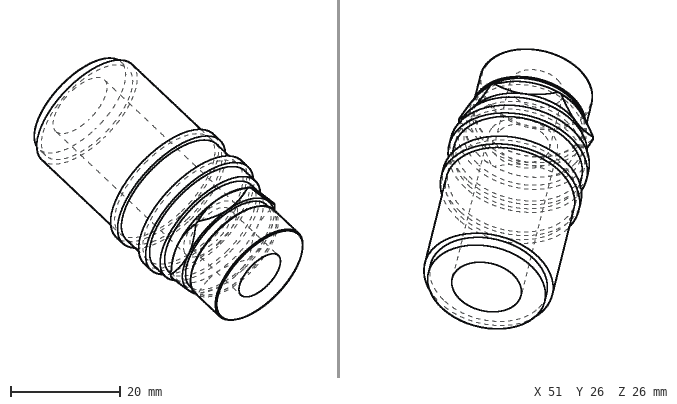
import cadquery as cq

TOTAL_LENGTH = 51.0
NOSE_END = 2.0
RING_WIDTH = 2.0
RING_STARTS = (24.0, 32.0)
BODY_END = 37.0
HEX_START = 39.0
HEX_END = 42.0
GROOVE_END = 43.55

NOSE_DIAMETER = 22.0
BODY_DIAMETER = 24.1
RING_DIAMETER = 26.0
HEX_ACROSS_FLATS = NOSE_DIAMETER
FLAT_TURN = 30.0
HEX_CREST_DIAMETER = 25.05
GROOVE_DIAMETER = 20.5
COLLAR_DIAMETER = 21.05
COLLAR_CHAMFER = 0.2

WIDE_BORE_DIAMETER = 13.0
THROUGH_BORE_DIAMETER = 10.0
WIDE_BORE_DEPTH = BODY_END


def cylinder(start, end, diameter):
    """Cylinder on the X axis between two stations."""
    return cq.Workplane("YZ", origin=(start, 0, 0)).circle(diameter / 2).extrude(end - start)


def wrench_hexagon():
    """Hexagon with flats facing +Z and -Z, its corners cut by two cones that meet at a crest."""
    hex_prism = (
        cq.Workplane("YZ", origin=(HEX_START, 0, 0))
        .transformed(rotate=(0, 0, FLAT_TURN))
        .polygon(6, HEX_ACROSS_FLATS, circumscribed=True)
        .extrude(HEX_END - HEX_START)
    )
    crest_station = (HEX_START + HEX_END) / 2
    double_cone = (
        cq.Workplane("XY")
        .moveTo(HEX_START, 0)
        .lineTo(HEX_START, HEX_ACROSS_FLATS / 2)
        .lineTo(crest_station, HEX_CREST_DIAMETER / 2)
        .lineTo(HEX_END, HEX_ACROSS_FLATS / 2)
        .lineTo(HEX_END, 0)
        .close()
        .revolve(360, (0, 0, 0), (1, 0, 0))
    )
    return hex_prism.intersect(double_cone)


shell = cylinder(0, HEX_START, NOSE_DIAMETER)
shell = shell.union(cylinder(NOSE_END, BODY_END, BODY_DIAMETER))

for ring_start in RING_STARTS:
    shell = shell.union(cylinder(ring_start, ring_start + RING_WIDTH, RING_DIAMETER))

collar = cylinder(GROOVE_END, TOTAL_LENGTH, COLLAR_DIAMETER).edges().chamfer(COLLAR_CHAMFER)
shell = shell.union(wrench_hexagon())
shell = shell.union(cylinder(HEX_END, GROOVE_END, GROOVE_DIAMETER))
shell = shell.union(collar)

result = shell.cut(cylinder(0, WIDE_BORE_DEPTH, WIDE_BORE_DIAMETER))
result = result.cut(cylinder(0, TOTAL_LENGTH, THROUGH_BORE_DIAMETER))